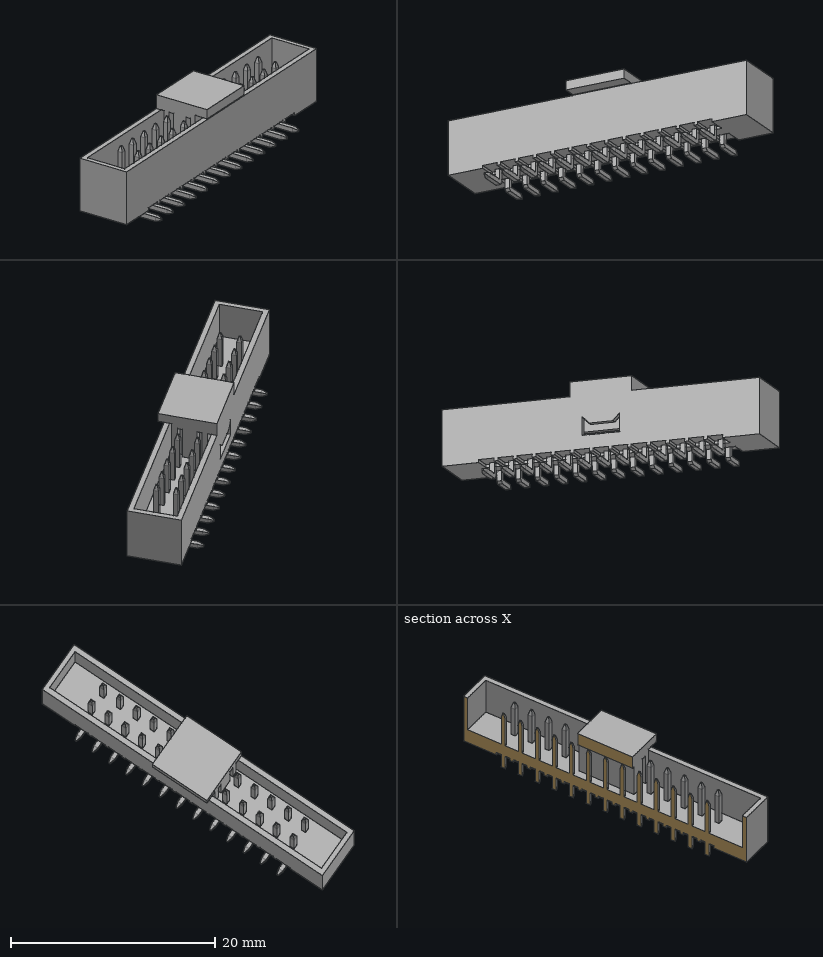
import cadquery as cq

body_length = 33.25
body_width = 5.52
body_bottom = 1.3
body_height = 5.75
body_top = body_bottom + body_height
side_wall = 0.55
end_wall = 0.5
cavity_floor = 3.0
cavity_width = body_width - 2 * side_wall

pin_count = 13
pin_pitch = 2.0
row_offset = pin_pitch / 2
pin_size = 0.5
pin_half = pin_size / 2
pin_top = 7.0
foot_reach = 3.75
taper_length = 0.55
taper_tip = 0.15
bend_chamfer = 0.25
pin_positions = [(i - (pin_count - 1) / 2) * pin_pitch for i in range(pin_count)]

notch_width = 1.6
notch_height = 0.3

window_width = 3.92
clip_bottom = 4.15
clip_chamfer = 0.7

cap_length = 6.5
cap_height = 1.5
cap_width = 6.0
lip_thickness = 1.0
cap_top = body_top + cap_height
rib_reach = 1.83
rib_bottom = 3.55
pin_slot_width = pin_size


def box(x_range, y_range, z_range):
    """Box spanning the given (low, high) limits along each axis."""
    spans = [high - low for low, high in (x_range, y_range, z_range)]
    corner = (x_range[0], y_range[0], z_range[0])
    return cq.Workplane("XY").box(*spans, centered=False).translate(corner)


def centred(width):
    return (-width / 2, width / 2)


def make_housing():
    housing = box(centred(body_width), centred(body_length), (body_bottom, body_top))
    cavity = box(centred(cavity_width), centred(body_length - 2 * end_wall), (cavity_floor, body_top))
    housing = housing.cut(cavity)
    window = box(
        (-body_width / 2, -cavity_width / 2), centred(window_width), (cavity_floor, body_top)
    )
    housing = housing.cut(window)
    notch_end = row_offset - pin_half
    for y in pin_positions:
        notch = box(
            (notch_end, body_width / 2),
            (y - notch_width / 2, y + notch_width / 2),
            (body_bottom, body_bottom + notch_height),
        )
        housing = housing.cut(notch).cut(notch.mirror("YZ"))
    return housing


def make_pin():
    """Pin of the +X row, centred on Y = 0, with its foot pointing to +X."""
    inner = row_offset - pin_half
    outer = row_offset + pin_half
    foot_end = foot_reach - taper_length
    post_end = pin_top - taper_length
    profile = [
        (inner + bend_chamfer, 0),
        (foot_end, 0),
        (foot_end, pin_size),
        (outer, pin_size),
        (outer, post_end),
        (inner, post_end),
        (inner, bend_chamfer),
    ]
    wire = cq.Workplane("XZ").polyline(profile).close().extrude(pin_half, both=True)
    post_tip = (
        cq.Workplane("XY", origin=(row_offset, 0, post_end))
        .rect(pin_size, pin_size)
        .workplane(offset=taper_length)
        .rect(taper_tip, taper_tip)
        .loft()
    )
    foot_tip = (
        cq.Workplane("YZ", origin=(foot_end, 0, pin_half))
        .rect(pin_size, pin_size)
        .workplane(offset=taper_length)
        .rect(taper_tip, taper_tip)
        .loft()
    )
    return wire.union(post_tip).union(foot_tip)


def make_cap():
    left = -body_width / 2
    length_range = centred(cap_length)
    block = box((left, rib_reach), length_range, (body_top, cap_top))
    lip = box((left, left + cap_width), length_range, (cap_top - lip_thickness, cap_top))
    ribs = box(centred(2 * rib_reach), length_range, (rib_bottom, body_top))
    for x in (-row_offset, row_offset):
        slot = box(
            (x - pin_slot_width / 2, x + pin_slot_width / 2), length_range, (rib_bottom, body_top)
        )
        ribs = ribs.cut(slot)
    clip = box((left, -cavity_width / 2), centred(window_width), (clip_bottom, body_top))
    clip = clip.edges("|X and <Z").chamfer(clip_chamfer)
    return block.union(lip).union(ribs).union(clip)


result = make_housing().union(make_cap())
right_pin = make_pin()
left_pin = right_pin.mirror("YZ")
for y in pin_positions:
    for pin in (right_pin, left_pin):
        result = result.union(pin.translate((0, y, 0)))